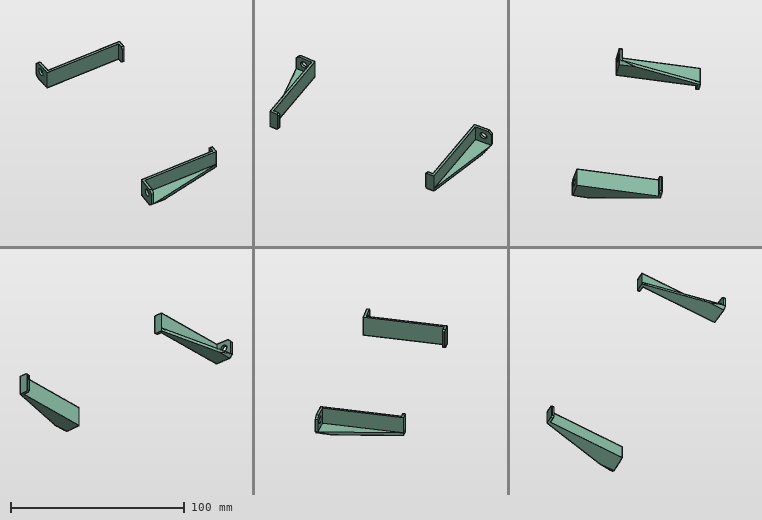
import cadquery as cq
import math

span = 130.1
depth = 50.0
height = 12.0

wall = 1.5
floor_thickness = 2.0

floor_width = 10.4
bracket_width = 16.1
hole_inset = 5.2

outer_x = -span / 2
front_y = -depth / 2
back_y = depth / 2
wall_outer_x = outer_x + floor_width
wall_inner_x = wall_outer_x + wall
back_tip_x = outer_x + bracket_width

front_lean = 0.4
front_root_y = front_y + front_lean
lean_angle = math.atan2(front_lean, wall_inner_x - outer_x)
tip_front_x = outer_x + wall * math.sin(lean_angle)
tip_inner_y = front_y + wall * math.cos(lean_angle)
bend_inner_y = tip_inner_y + floor_width * math.tan(lean_angle)

front_chamfer = 2.0
back_chamfer = 1.0
lead_in = 0.5
hole_diameter = 4.3
hole_x = outer_x + hole_inset
hole_z = 7.2


def make_strip():
    """Wall with an outward front flange and a back flange with a beveled tip."""
    outline = [
        (tip_front_x, front_y),
        (wall_inner_x, front_root_y),
        (wall_inner_x, back_y - wall),
        (back_tip_x, back_y - wall),
        (back_tip_x, back_y - lead_in),
        (back_tip_x - lead_in, back_y),
        (wall_outer_x, back_y),
        (wall_outer_x, bend_inner_y),
        (outer_x, tip_inner_y),
    ]
    return cq.Workplane("XY").polyline(outline).close().extrude(height)


def make_floor():
    """Triangular floor that tapers to nothing at the back of the wall."""
    outline = [
        (outer_x, tip_inner_y),
        (wall_outer_x, bend_inner_y),
        (wall_outer_x, back_y),
    ]
    return cq.Workplane("XY").polyline(outline).close().extrude(floor_thickness)


def cross_section(origin, lean=0):
    """Upright plane whose normal points forward, turned about Z by the lean angle."""
    x_direction = (math.cos(lean), math.sin(lean), 0)
    normal = (math.sin(lean), -math.cos(lean), 0)
    return cq.Workplane(cq.Plane(origin=origin, xDir=x_direction, normal=normal))


def corner_cuts(plane, tip_direction, leg, length):
    """Prisms, square to the plane, for the bottom and top corners at its origin."""
    inward = -tip_direction * leg
    past_tip = tip_direction * leg
    cuts = []
    for z, upward in ((0, leg), (height, -leg)):
        triangle = [(inward, z), (past_tip, z - upward), (past_tip, z + 2 * upward)]
        cuts.append(plane.polyline(triangle).close().extrude(-length))
    return cuts


def make_left_bracket():
    bracket = make_strip().union(make_floor())

    front_plane = cross_section((tip_front_x, front_y, 0), lean_angle)
    back_plane = cross_section((back_tip_x, back_y - wall, 0))
    cuts = corner_cuts(front_plane, -1, front_chamfer, depth)
    cuts += corner_cuts(back_plane, 1, back_chamfer, wall)
    for cut in cuts:
        bracket = bracket.cut(cut)

    hole_plane = cross_section((hole_x, front_y, hole_z), lean_angle)
    hole = hole_plane.circle(hole_diameter / 2).extrude(2 * wall, both=True)
    return bracket.cut(hole)


left_bracket = make_left_bracket()
right_bracket = left_bracket.mirror("YZ")

result = cq.Compound.makeCompound([left_bracket.val(), right_bracket.val()])